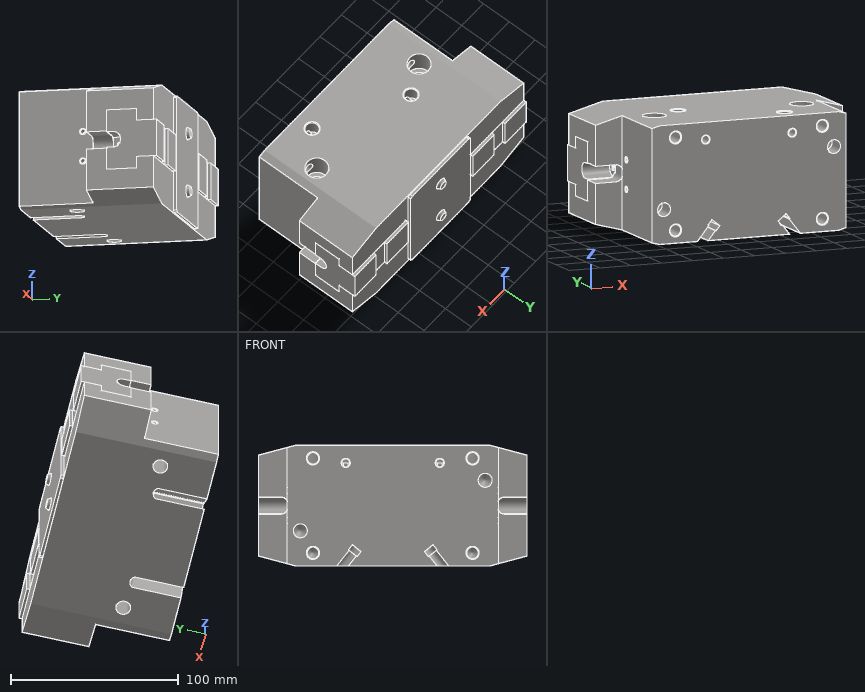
import cadquery as cq
import math

length = 160.0
height = 72.0
depth = 86.2
block_half_length = 62.9
shoulder_y = 45.3
bevel_start_x = 58.0
end_half_height = 30.0

jaw_inner_x = 30.0
stem_width = 22.0
foot_width = 36.0
foot_front_y = 57.6
foot_rear_y = 75.8
pad_height = 2.0
key_outer_x = 60.2
key_inner_x = 50.0

housing_groove_width = 10.4
groove_arc_x = 67.2
jaw_groove_width = 9.5
jaw_groove_y = 61.5
jaw_screw_diameter = 2.4
jaw_screw_rim = 3.0
jaw_screw_depth = 8.0

plate_half_length = 27.8
plate_height = 70.4
plate_corner_x = 1.6
plate_corner_z = 1.1
stud_base_diameter = 7.5
stud_top_diameter = 5.5
stud_height = 2.0
stud_z = 17.5

bolt_x = 47.7
bolt_y = 32.0
bolt_diameter = 8.6
bolt_head_diameter = 14.2
bolt_head_depth = 16.0

port_x = 28.0
port_z = 25.5
port_diameter = 8.6
port_rim = 9.6
bore_diameter = 4.8
bore_rim = 5.5
duct_diameter = 2.7
duct_depth = 6.4
left_port_y = 42.0
left_duct_y = 42.0
right_port_y = 12.0
right_duct_y = 9.6

mount_x = 47.5
mount_z = 28.2
mount_diameter = 6.9
mount_rim = 7.8
upper_mount_depth = bolt_y
lower_mount_depth = 19.2
dowel_x = 55.0
dowel_z = 15.0
dowel_diameter = 8.3
dowel_depth = 12.8
drill_point_angle = 118.0

side_hole_y = 39.0
side_hole_z = 9.0
side_hole_diameter = 3.0
side_hole_rim = 3.8
side_hole_depth = 8.0

sensor_mouth_x = 30.0
sensor_tilt = 38.5
sensor_reach = 13.6
sensor_width = 5.5
sensor_head_width = 6.5
sensor_head_length = 3.8
sensor_depth = 32.0

X_AXIS = cq.Vector(1, 0, 0)
Y_AXIS = cq.Vector(0, 1, 0)
DOWN = cq.Vector(0, 0, -1)


def box(x_min, x_max, y_min, y_max, z_min, z_max):
    """Box between the given limits."""
    size = (x_max - x_min, y_max - y_min, z_max - z_min)
    return cq.Workplane("XY").box(*size, centered=False).translate((x_min, y_min, z_min))


def drill(mouth, direction, diameter, hole_depth):
    """Flat-bottomed cylinder that starts at the mouth point."""
    return cq.Workplane(obj=cq.Solid.makeCylinder(diameter / 2, hole_depth, cq.Vector(*mouth), direction))


def rim_cone(mouth, direction, diameter, rim):
    """45 degree countersink that leads into a hole."""
    rim_depth = (rim - diameter) / 2
    return cq.Workplane(obj=cq.Solid.makeCone(rim / 2, diameter / 2, rim_depth, cq.Vector(*mouth), direction))


def pointed_drill(mouth, direction, diameter, hole_depth):
    """Cylinder that ends in a drill point."""
    point_length = diameter / 2 / math.tan(math.radians(drill_point_angle / 2))
    point_base = cq.Vector(*mouth) + direction * hole_depth
    cone = cq.Solid.makeCone(diameter / 2, 0, point_length, point_base, direction)
    return drill(mouth, direction, diameter, hole_depth).union(cq.Workplane(obj=cone))


def rimmed_drill(mouth, direction, diameter, rim, hole_depth):
    """Flat-bottomed hole with a countersunk rim."""
    return drill(mouth, direction, diameter, hole_depth).union(rim_cone(mouth, direction, diameter, rim))


def tapped_hole(mouth, direction, diameter, rim, hole_depth):
    """Hole with a drill point and a countersunk rim."""
    return pointed_drill(mouth, direction, diameter, hole_depth).union(rim_cone(mouth, direction, diameter, rim))


def mirrored_pair(shape):
    """The shape together with its mirror image across X = 0."""
    return shape.union(shape.mirror("YZ"))


def housing_block():
    """Bevelled bar, narrowed in front of the shoulder."""
    half_height = height / 2
    block = (
        cq.Workplane("XZ")
        .moveTo(bevel_start_x, half_height)
        .lineTo(length / 2, end_half_height)
        .lineTo(length / 2, -end_half_height)
        .lineTo(bevel_start_x, -half_height)
        .lineTo(-bevel_start_x, -half_height)
        .lineTo(-length / 2, -end_half_height)
        .lineTo(-length / 2, end_half_height)
        .lineTo(-bevel_start_x, half_height)
        .close()
        .extrude(-depth)
    )
    relief = box(-length / 2, -block_half_length, 0, shoulder_y, -half_height, half_height)
    return block.cut(mirrored_pair(relief))


def tee_bar(stem_top_y):
    """T-shaped bar at the -X end: wide foot in front, stem toward the rear."""
    foot = box(-length / 2, -jaw_inner_x, foot_front_y, foot_rear_y, -foot_width / 2, foot_width / 2)
    stem = box(-length / 2, -jaw_inner_x, foot_rear_y, stem_top_y, -stem_width / 2, stem_width / 2)
    return foot.union(stem)


def housing_end_groove():
    """Access groove from the -X end with a rounded inner end."""
    radius = housing_groove_width / 2
    straight = box(-length / 2, -groove_arc_x, shoulder_y, foot_front_y, -radius, radius)
    mouth = (-groove_arc_x, shoulder_y, 0)
    return straight.union(drill(mouth, Y_AXIS, housing_groove_width, foot_front_y - shoulder_y))


def rear_plate():
    """Raised plate on the rear face with clipped corners and two tapered studs."""
    half_height = plate_height / 2
    plate_rear_y = depth + pad_height
    clipped_x = plate_half_length - plate_corner_x
    clipped_z = half_height - plate_corner_z
    plate = (
        cq.Workplane("XZ", origin=(0, depth, 0))
        .moveTo(clipped_x, half_height)
        .lineTo(plate_half_length, clipped_z)
        .lineTo(plate_half_length, -clipped_z)
        .lineTo(clipped_x, -half_height)
        .lineTo(-clipped_x, -half_height)
        .lineTo(-plate_half_length, -clipped_z)
        .lineTo(-plate_half_length, clipped_z)
        .lineTo(-clipped_x, half_height)
        .close()
        .extrude(-pad_height)
    )
    for z in (-stud_z, stud_z):
        base = cq.Vector(0, plate_rear_y, z)
        stud = cq.Solid.makeCone(stud_base_diameter / 2, stud_top_diameter / 2, stud_height, base, Y_AXIS)
        plate = plate.union(cq.Workplane(obj=stud))
    return plate


def bolt_hole(x):
    """Through hole along Z, counterbored from the top face."""
    mouth = (x, bolt_y, height / 2)
    head = drill(mouth, DOWN, bolt_head_diameter, bolt_head_depth)
    return drill(mouth, DOWN, bolt_diameter, height).union(head)


def air_port(x, port_y, duct_y):
    """Top port, the front bore that opens into its floor, and the duct below."""
    top_z = height / 2
    port = rimmed_drill((x, port_y, top_z), DOWN, port_diameter, port_rim, top_z - port_z)
    bore = rimmed_drill((x, 0, port_z), Y_AXIS, bore_diameter, bore_rim, duct_y)
    duct = pointed_drill((x, duct_y, port_z), DOWN, duct_diameter, duct_depth)
    return port.union(bore).union(duct)


def sensor_slot():
    """Inclined slot on the -X side, with a wider head and rounded rear ends."""
    def channel(width, start, end):
        straight_depth = sensor_depth - width / 2
        straight = box(-width / 2, width / 2, 0, straight_depth, start, end)
        return straight.union(drill((0, straight_depth, start), cq.Vector(0, 0, 1), width, end - start))

    head_start = sensor_reach - sensor_head_length
    slot = channel(sensor_width, -sensor_width, head_start)
    slot = slot.union(channel(sensor_head_width, head_start, sensor_reach))
    return slot.rotate((0, 0, 0), (0, 1, 0), sensor_tilt).translate((-sensor_mouth_x, 0, -height / 2))


def make_housing():
    """Housing with its rear plate, jaw slots and all holes."""
    housing = housing_block().union(rear_plate())
    housing = housing.cut(mirrored_pair(tee_bar(depth)))
    housing = housing.cut(mirrored_pair(housing_end_groove()))
    housing = housing.cut(mirrored_pair(sensor_slot()))
    housing = housing.cut(air_port(-port_x, left_port_y, left_duct_y))
    housing = housing.cut(air_port(port_x, right_port_y, right_duct_y))
    for side in (-1, 1):
        housing = housing.cut(bolt_hole(side * bolt_x))
        dowel_mouth = (side * dowel_x, 0, side * dowel_z)
        housing = housing.cut(pointed_drill(dowel_mouth, Y_AXIS, dowel_diameter, dowel_depth))
        for level, mount_depth in ((1, upper_mount_depth), (-1, lower_mount_depth)):
            mount_mouth = (side * mount_x, 0, level * mount_z)
            housing = housing.cut(tapped_hole(mount_mouth, Y_AXIS, mount_diameter, mount_rim, mount_depth))
            side_mouth = (side * block_half_length, side_hole_y, level * side_hole_z)
            inward = X_AXIS * -side
            housing = housing.cut(
                tapped_hole(side_mouth, inward, side_hole_diameter, side_hole_rim, side_hole_depth)
            )
    return housing


def make_jaw():
    """Jaw at the -X end."""
    jaw = tee_bar(depth + pad_height)
    half_stem = stem_width / 2
    keyway = box(-key_outer_x, -key_inner_x, depth, depth + pad_height, -half_stem, half_stem)

    radius = jaw_groove_width / 2
    groove_end_x = housing_groove_width / 2 - groove_arc_x
    groove_length = length / 2 + groove_end_x
    groove = drill((-length / 2, jaw_groove_y, 0), X_AXIS, jaw_groove_width, groove_length)
    groove = groove.union(box(-length / 2, groove_end_x, foot_front_y, jaw_groove_y, -radius, radius))
    screw_mouth = (groove_end_x, jaw_groove_y, 0)
    screw = tapped_hole(screw_mouth, X_AXIS, jaw_screw_diameter, jaw_screw_rim, jaw_screw_depth)
    return jaw.cut(keyway).cut(groove).cut(screw)


housing = make_housing()
left_jaw = make_jaw()
jaws = [left_jaw, left_jaw.mirror("YZ")]

result = cq.Compound.makeCompound([housing.val()] + [jaw.val() for jaw in jaws])